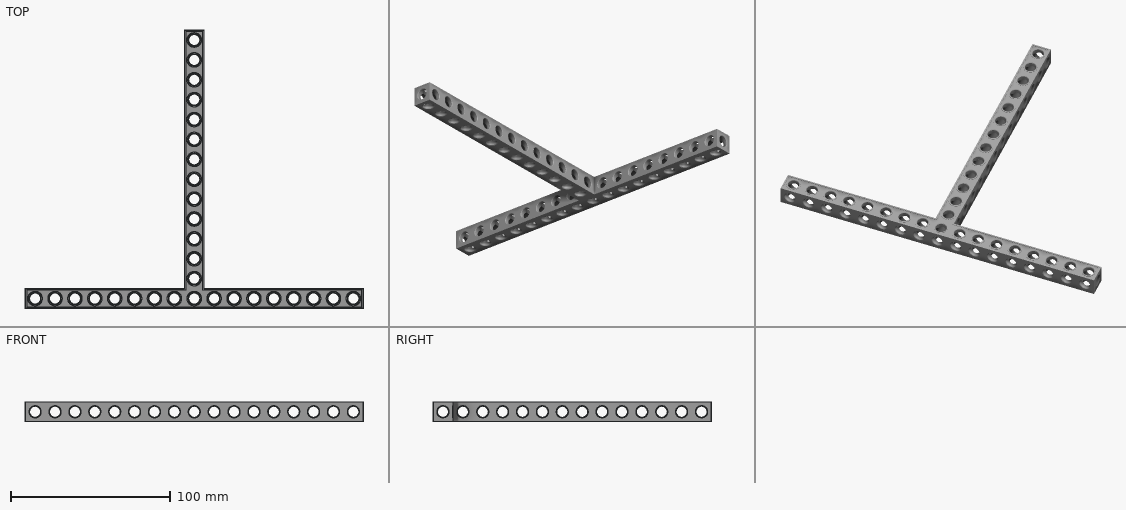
import cadquery as cq

bar_length = 212.5
holes_across = 17
holes_up = 13
hole_diameter = 7.0
mouth_diameter = 7.6
flare_depth = 0.32
ring_diameter = 9.1
rim_width = 1.0
recess_depth = 0.25

pitch = bar_length / holes_across
stem_length = pitch * (holes_up + 1)
stem_tip = stem_length - pitch / 2
stem_middle = stem_tip - stem_length / 2
crossbar_places = [(i - (holes_across - 1) / 2) * pitch for i in range(holes_across)]
stem_places = [i * pitch for i in range(1, holes_up + 1)]
all_places = [(x, 0) for x in crossbar_places] + [(0, y) for y in stem_places]


def tee(inset, bottom, top):
    """T-shaped slab between two heights, with its outline moved inward by inset."""
    width = pitch - 2 * inset
    height = top - bottom
    crossbar = cq.Workplane("XY", origin=(0, 0, bottom)).rect(bar_length - 2 * inset, width).extrude(height)
    stem = (
        cq.Workplane("XY", origin=(0, stem_middle, bottom))
        .rect(width, stem_length - 2 * inset)
        .extrude(height)
    )
    return crossbar.union(stem)


def top_recess():
    """Shallow pocket inside the top rim, leaving a raised ring around every hole."""
    floor = pitch / 2 - recess_depth
    rings = (
        cq.Workplane("XY", origin=(0, 0, floor))
        .pushPoints(all_places)
        .circle(ring_diameter / 2)
        .extrude(recess_depth)
    )
    return tee(rim_width, floor, pitch / 2).cut(rings)


def bore_cutters(axis, centre, length):
    """Solids to cut a round through hole, flared at both ends, about its midpoint."""
    direction = cq.Vector(axis)
    start = cq.Vector(centre) - direction * (length / 2)
    solids = [cq.Solid.makeCylinder(hole_diameter / 2, length, start, direction)]
    for side in (-1, 1):
        outward = direction * side
        mouth = cq.Vector(centre) + outward * (length / 2)
        solids.append(
            cq.Solid.makeCone(mouth_diameter / 2, hole_diameter / 2, flare_depth, mouth, outward * -1)
        )
    return solids


along_x = (1, 0, 0)
along_y = (0, 1, 0)
along_z = (0, 0, 1)

cutters = []

for x, y in all_places:
    cutters += bore_cutters(along_z, (x, y, 0), pitch)

for x in crossbar_places:
    if x != 0:
        cutters += bore_cutters(along_y, (x, 0, 0), pitch)
cutters += bore_cutters(along_y, (0, stem_middle, 0), stem_length)

for y in stem_places:
    cutters += bore_cutters(along_x, (0, y, 0), pitch)
cutters += bore_cutters(along_x, (0, 0, 0), bar_length)

body = tee(0, -pitch / 2, pitch / 2).cut(top_recess())
result = cq.Workplane(body.val().cut(*cutters))